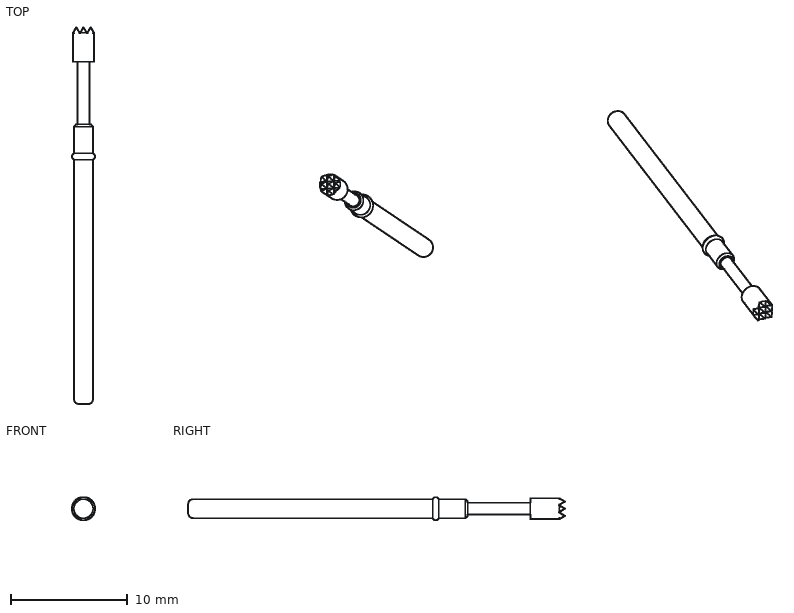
import cadquery as cq
import math

length = 32.3
head_diameter = 1.8
head_length = 2.97
shaft_diameter = 1.03
barrel_diameter = 1.65
mouth_diameter = 1.3
mouth_position = 8.33
mouth_chamfer_length = 0.2
bead_diameter = 2.0
bead_position = 11.08
bead_width = 0.52
end_fillet = 0.45

tooth_pitch = 0.6
tooth_depth = 0.52
teeth_per_row = 3

head_radius = head_diameter / 2
shaft_radius = shaft_diameter / 2
barrel_radius = barrel_diameter / 2
tip_y = length / 2
end_y = -length / 2
shoulder_y = tip_y - head_length
mouth_y = tip_y - mouth_position
bead_y = tip_y - bead_position


def revolved_body():
    """Head, shaft and barrel as one half-profile turned about the Y axis."""
    fillet_offset = end_fillet * math.sqrt(0.5)
    fillet_center_x = barrel_radius - end_fillet
    fillet_center_y = end_y + end_fillet
    return (
        cq.Workplane("XY")
        .moveTo(0, tip_y)
        .lineTo(head_radius, tip_y)
        .lineTo(head_radius, shoulder_y)
        .lineTo(shaft_radius, shoulder_y)
        .lineTo(shaft_radius, mouth_y)
        .lineTo(mouth_diameter / 2, mouth_y)
        .lineTo(barrel_radius, mouth_y - mouth_chamfer_length)
        .lineTo(barrel_radius, bead_y + bead_width / 2)
        .threePointArc((bead_diameter / 2, bead_y), (barrel_radius, bead_y - bead_width / 2))
        .lineTo(barrel_radius, fillet_center_y)
        .threePointArc(
            (fillet_center_x + fillet_offset, fillet_center_y - fillet_offset),
            (fillet_center_x, end_y),
        )
        .lineTo(0, end_y)
        .close()
        .revolve(360, (0, 0, 0), (0, 1, 0))
    )


def crown_grooves():
    """V-grooves along Z, side by side so that sharp ridges are left between them."""
    half_pitch = tooth_pitch / 2
    first_groove_x = -teeth_per_row * half_pitch
    grooves = cq.Workplane("XY")
    for index in range(teeth_per_row + 1):
        groove_x = first_groove_x + index * tooth_pitch
        groove = (
            cq.Workplane("XY")
            .moveTo(groove_x - half_pitch, tip_y)
            .lineTo(groove_x, tip_y - tooth_depth)
            .lineTo(groove_x + half_pitch, tip_y)
            .close()
            .extrude(head_radius, both=True)
        )
        grooves = grooves.add(groove)
    return grooves.combine()


result = revolved_body()
for turn in (0, 90):
    result = result.cut(crown_grooves().rotate((0, 0, 0), (0, 1, 0), turn))